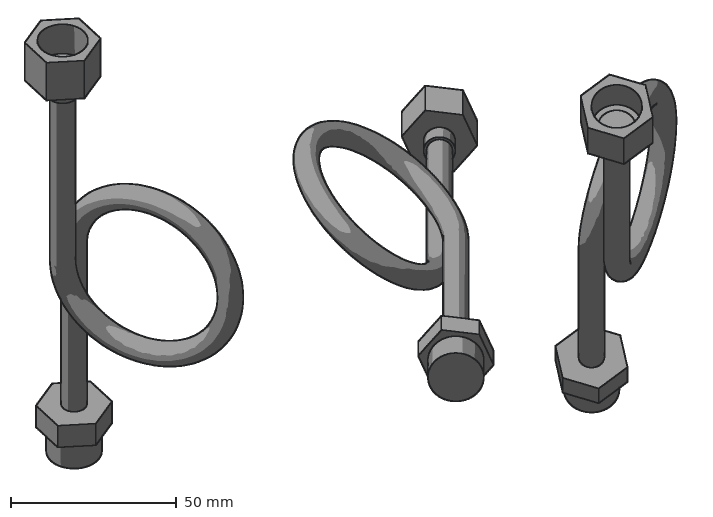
import cadquery as cq
import math

leg_offset = 8.0
lower_leg_y = leg_offset / 2
upper_leg_y = -leg_offset / 2

pipe_diameter = 7.9
loop_radius = 27.0
loop_height = 81.4
half_loop_steps = 8

hex_across_flats = 20.0
stub_diameter = 17.0
stub_length = 10.0
fitting_height = 18.6

nut_top = 167.5
nut_height = 14.9
nut_bottom = nut_top - nut_height
nut_bore_diameter = 15.2
nut_floor = 1.7

collar_diameter = 9.5
collar_bottom = 146.7
gland_head_thickness = 1.7
gland_head_bottom = nut_bottom + nut_floor
gland_top = gland_head_bottom + gland_head_thickness
plug_diameter = 11.4
plug_thickness = 0.8
plug_bottom = gland_top - plug_thickness


def cylinder(diameter, y, bottom, top):
    """Upright cylinder on the leg axis at the given Y."""
    return cq.Workplane(origin=(0, y, bottom)).circle(diameter / 2).extrude(top - bottom)


def hex_prism(y, bottom, top):
    """Upright hexagonal prism with its corners pointing along Y."""
    across_corners = hex_across_flats / math.cos(math.pi / 6)
    prism = cq.Workplane().polygon(6, across_corners).extrude(top - bottom)
    return prism.rotate((0, 0, 0), (0, 0, 1), 90).translate((0, y, bottom))


def half_loop_point(fraction):
    """Point on the loop centerline, from the lower leg over the top to the far side."""
    angle = fraction * math.pi
    x = loop_radius * (1 - math.cos(angle))
    y = lower_leg_y * (1 - fraction ** 2)
    z = loop_height + loop_radius * math.sin(angle)
    return (x, y, z)


def make_half_loop():
    """Half turn of tube from the top of the lower leg to the far side of the loop."""
    fractions = [step / half_loop_steps for step in range(half_loop_steps + 1)]
    points = [half_loop_point(fraction) for fraction in fractions]
    start_rate = (0, 0, math.pi * loop_radius)
    end_rate = (0, -2 * lower_leg_y, -math.pi * loop_radius)
    path = cq.Workplane().spline(
        points, tangents=[start_rate, end_rate], parameters=fractions, scale=False
    )
    profile = cq.Workplane(origin=(0, lower_leg_y, loop_height)).circle(pipe_diameter / 2)
    return profile.sweep(path)


def make_pipe():
    """One tube: lower leg, full loop and upper leg."""
    first_half = make_half_loop()
    second_half = first_half.rotate((0, 0, loop_height), (1, 0, loop_height), 180)
    lower_leg = cylinder(pipe_diameter, lower_leg_y, fitting_height, loop_height)
    upper_leg = cylinder(pipe_diameter, upper_leg_y, loop_height, collar_bottom)
    return first_half.union(lower_leg).union(second_half).union(upper_leg)


def make_fitting():
    """Hexagon with a round stub below it."""
    stub = cylinder(stub_diameter, lower_leg_y, 0, stub_length)
    return hex_prism(lower_leg_y, stub_length, fitting_height).union(stub)


def make_nut():
    """Hexagonal nut, bored from above, with a floor that the collar passes through."""
    bore = cylinder(nut_bore_diameter, upper_leg_y, gland_head_bottom, nut_top)
    collar_hole = cylinder(collar_diameter, upper_leg_y, nut_bottom, gland_head_bottom)
    return hex_prism(upper_leg_y, nut_bottom, nut_top).cut(bore).cut(collar_hole)


def make_gland():
    """Collar with a wide head resting on the nut floor and a recess for the plug."""
    collar = cylinder(collar_diameter, upper_leg_y, collar_bottom, gland_head_bottom)
    head = cylinder(nut_bore_diameter, upper_leg_y, gland_head_bottom, gland_top)
    recess = cylinder(plug_diameter, upper_leg_y, plug_bottom, gland_top)
    return collar.union(head).cut(recess)


def make_plug():
    """Round disc flush with the gland head."""
    return cylinder(plug_diameter, upper_leg_y, plug_bottom, gland_top)


pipe = make_pipe()
fitting = make_fitting()
nut = make_nut()
gland = make_gland()
plug = make_plug()

result = cq.Compound.makeCompound([pipe.val(), fitting.val(), nut.val(), gland.val(), plug.val()])